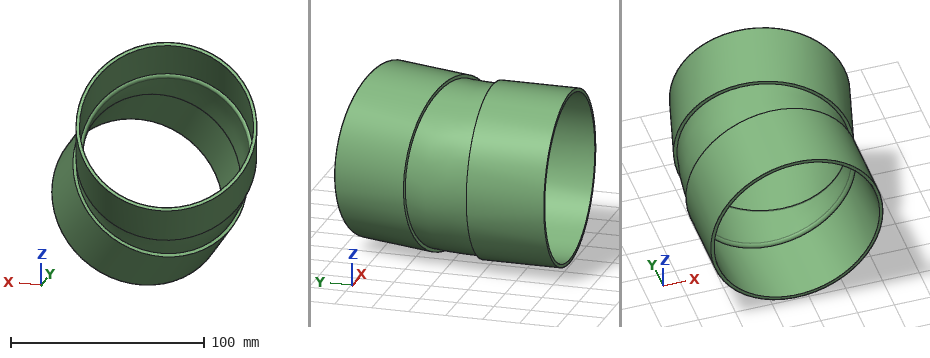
import cadquery as cq
import math

socket_outer_diameter = 93.6
bend_outer_diameter = 90.0
wall = 1.82
socket_length = 41.9
bend_radius = 89.6
bend_angle = 15

socket_outer_radius = socket_outer_diameter / 2
socket_bore_radius = socket_outer_radius - wall
bend_outer_radius = bend_outer_diameter / 2
bend_bore_radius = bend_outer_radius - wall
shoulder_radius = socket_bore_radius - bend_bore_radius
socket_depth = socket_length - shoulder_radius


def curved_rod(radius):
    """Solid bend in the XY plane, starting at the inner end of the first socket."""
    return (
        cq.Workplane("XZ", origin=(0, socket_length, 0))
        .circle(radius)
        .revolve(bend_angle, (bend_radius, 0, 0), (bend_radius, -1, 0))
    )


def socket_body():
    """Solid socket with its mouth at Y = 0 and its inner end toward +Y."""
    return cq.Workplane("XZ").circle(socket_outer_radius).extrude(-socket_length)


def socket_bore():
    """Socket cavity that narrows to the bend bore over a convex rounded shoulder."""
    arc_offset = shoulder_radius * math.sqrt(0.5)
    arc_middle = (socket_bore_radius - arc_offset, socket_length - arc_offset)
    return (
        cq.Workplane("XY")
        .lineTo(socket_bore_radius, 0)
        .lineTo(socket_bore_radius, socket_depth)
        .threePointArc(arc_middle, (bend_bore_radius, socket_length))
        .lineTo(0, socket_length)
        .close()
        .revolve(360, (0, 0, 0), (0, 1, 0))
    )


def at_far_end(first_socket_shape):
    """Copy a first-socket shape to the far end by mirroring across the bend's middle plane."""
    half_angle = math.radians(bend_angle / 2)
    plane_normal = cq.Vector(math.sin(half_angle), math.cos(half_angle), 0)
    bend_center = (bend_radius, socket_length, 0)
    return first_socket_shape.mirror(plane_normal, bend_center)


body = curved_rod(bend_outer_radius).union(socket_body()).union(at_far_end(socket_body()))
bore = curved_rod(bend_bore_radius).union(socket_bore()).union(at_far_end(socket_bore()))
result = body.cut(bore)